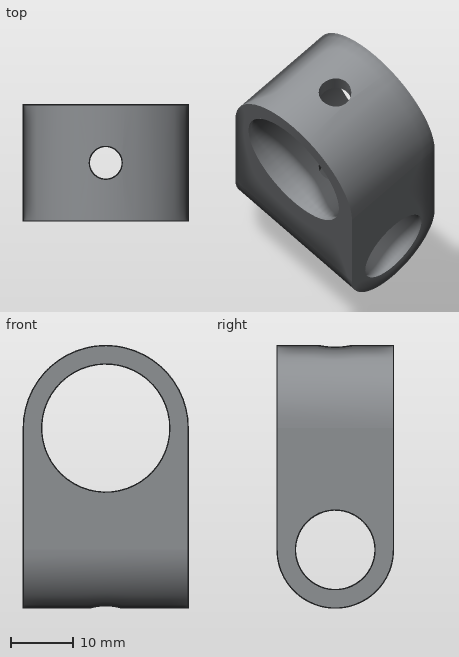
import cadquery as cq

height = 42.1
large_bore_diameter = 20.5
small_bore_diameter = 12.7
cross_hole_diameter = 5.2
wall = 3.0

width = large_bore_diameter + 2 * wall
depth = small_bore_diameter + 2 * wall
top_radius = width / 2
bottom_radius = depth / 2
large_bore_z = height - top_radius
small_bore_z = bottom_radius


def rounded_top_body():
    """Block along Y with a half-round top."""
    return (
        cq.Workplane("XZ")
        .moveTo(-top_radius, 0)
        .lineTo(top_radius, 0)
        .lineTo(top_radius, large_bore_z)
        .threePointArc((0, height), (-top_radius, large_bore_z))
        .close()
        .extrude(depth / 2, both=True)
    )


def rounded_bottom_body():
    """Block along X with a half-round bottom."""
    return (
        cq.Workplane("YZ")
        .moveTo(-bottom_radius, height)
        .lineTo(bottom_radius, height)
        .lineTo(bottom_radius, small_bore_z)
        .threePointArc((0, 0), (-bottom_radius, small_bore_z))
        .close()
        .extrude(width / 2, both=True)
    )


def through_bore(plane, center, diameter):
    """Cylinder long enough to pass through the whole part both ways."""
    return cq.Workplane(plane).center(*center).circle(diameter / 2).extrude(height, both=True)


body = rounded_top_body().intersect(rounded_bottom_body())

large_bore = through_bore("XZ", (0, large_bore_z), large_bore_diameter)
small_bore = through_bore("YZ", (0, small_bore_z), small_bore_diameter)

cross_hole = through_bore("XY", (0, 0), cross_hole_diameter)

result = body.cut(large_bore).cut(small_bore).cut(cross_hole)